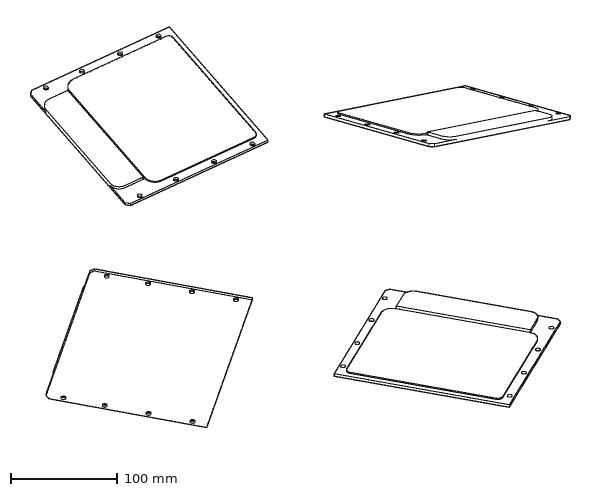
import cadquery as cq

plate_width = 173.3
plate_depth = 156.8
plate_thickness = 3.0
corner_chamfer = 3.5
front_edge = -plate_depth / 2
back_edge = plate_depth / 2

feature_center_x = 0.35

hole_diameter = 4.6
hole_column_spacing = 165.0
hole_back_inset = 15.0
hole_pitch = 42.6
pitched_rows = 3
front_hole_inset = 16.5

panel_width = 154.6
panel_height = 1.3
panel_back_inset = 5.0
panel_front_inset = 32.4
panel_back_radius = 5.0
panel_front_radius = 11.5

step_width = 132.6
step_total_height = 6.0
step_depth = 30.0
step_front_radius = 10.0

ramp_overhang = 0.2
ramp_flat_length = 0.6
ramp_length = 2.0

panel_top = plate_thickness + panel_height
panel_front_y = front_edge + panel_front_inset
panel_back_y = back_edge - panel_back_inset
step_height = step_total_height - plate_thickness
step_back_y = front_edge + step_depth
ramp_top_y = step_back_y + ramp_flat_length
ramp_foot_y = ramp_top_y + ramp_length


def make_plate():
    """Flat plate with its two front corners cut off."""
    plate = cq.Workplane("XY").box(
        plate_width, plate_depth, plate_thickness, centered=(True, True, False)
    )
    return plate.edges("|Z and <Y").chamfer(corner_chamfer)


def make_pad(width, front_y, back_y, height):
    """Rectangular block standing on the plate, centred on the feature centre line."""
    middle_y = (front_y + back_y) / 2
    return (
        cq.Workplane("XY", origin=(feature_center_x, middle_y, plate_thickness))
        .rect(width, back_y - front_y)
        .extrude(height)
    )


def make_panel():
    """Low pad with small back corners and large front corners."""
    panel = make_pad(panel_width, panel_front_y, panel_back_y, panel_height)
    panel = panel.edges("|Z and >Y").fillet(panel_back_radius)
    return panel.edges("|Z and <Y").fillet(panel_front_radius)


def make_step():
    """Raised block flush with the front edge, with rounded front corners."""
    step = make_pad(step_width, front_edge, step_back_y, step_height)
    return step.edges("|Z and <Y").fillet(step_front_radius)


def make_ramp():
    """Strip behind the step that slopes down to the top of the low pad."""
    profile = [
        (step_back_y, plate_thickness),
        (step_back_y, step_total_height),
        (ramp_top_y, step_total_height),
        (ramp_foot_y, panel_top),
        (ramp_foot_y, plate_thickness),
    ]
    half_width = step_width / 2 + ramp_overhang
    return (
        cq.Workplane("YZ", origin=(feature_center_x, 0, 0))
        .polyline(profile)
        .close()
        .extrude(half_width, both=True)
    )


def make_holes():
    """Cutters for the two columns of through holes."""
    first_row_y = back_edge - hole_back_inset
    row_positions = [first_row_y - row * hole_pitch for row in range(pitched_rows)]
    row_positions.append(front_edge + front_hole_inset)
    column_positions = [feature_center_x + side * hole_column_spacing / 2 for side in (-1, 1)]
    centers = [(x, y) for x in column_positions for y in row_positions]
    return (
        cq.Workplane("XY")
        .pushPoints(centers)
        .circle(hole_diameter / 2)
        .extrude(plate_thickness)
    )


pads = make_panel().union(make_ramp()).union(make_step())
result = make_plate().union(pads).cut(make_holes())